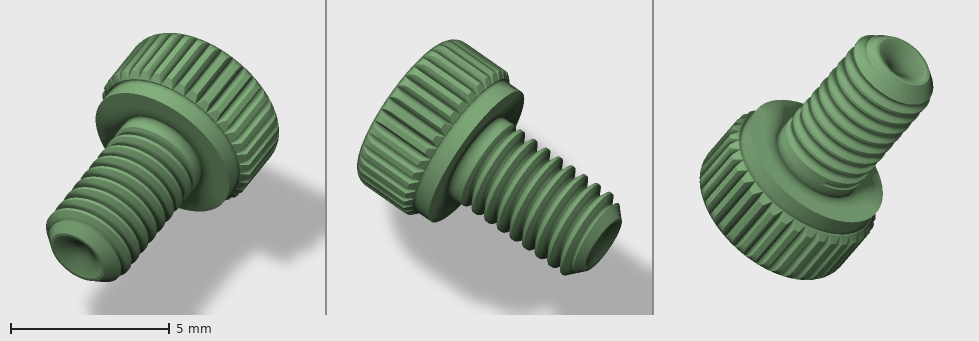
import cadquery as cq
import math


total_length = 7.9
shank_length = 5.0
head_length = total_length - shank_length
head_radius = 2.75
head_rounding = 0.505
collar_radius = 2.5
collar_length = 0.6
head_chamfer = 0.2

groove_count = 36
groove_root_radius = 2.51
groove_half_angle = math.radians(31.5)
groove_clearance = 0.08

shank_radius = 1.5
tip_radius = 1.0
cup_radius = 0.9
cup_depth = 0.52

turns_per_shank = 10
pitch = shank_length / turns_per_shank
thread_depth = 0.285
thread_root_radius = shank_radius - thread_depth
thread_half_angle = math.radians(30)
crest_width = 0.095
thread_clearance = 0.02
thread_start = 0.36
thread_start_angle = -90
runin_turns = 0.75
full_turns = 8.25


def screw_blank():
    """Head, collar, shank and cup point as one turned profile."""
    head_top = -head_length
    arc_shift = head_rounding * (1 - math.sqrt(0.5))
    tip_chamfer = shank_radius - tip_radius
    return (
        cq.Workplane("XZ")
        .moveTo(0, head_top)
        .lineTo(head_radius - head_rounding, head_top)
        .threePointArc(
            (head_radius - arc_shift, head_top + arc_shift),
            (head_radius, head_top + head_rounding),
        )
        .lineTo(head_radius, -collar_length - head_chamfer)
        .lineTo(head_radius - head_chamfer, -collar_length)
        .lineTo(collar_radius, -collar_length)
        .lineTo(collar_radius, 0)
        .lineTo(shank_radius, 0)
        .lineTo(shank_radius, shank_length - tip_chamfer)
        .lineTo(tip_radius, shank_length)
        .lineTo(cup_radius, shank_length)
        .lineTo(0, shank_length - cup_depth)
        .close()
        .revolve(360, (0, 0, 0), (0, 1, 0))
    )


def knurl_grooves():
    """Ring of V-prisms that leave the knurl teeth between them."""
    outer_radius = head_radius + groove_clearance
    half_width = (outer_radius - groove_root_radius) * math.tan(groove_half_angle)
    groove = (
        cq.Workplane("XY", origin=(0, 0, -head_length))
        .moveTo(groove_root_radius, 0)
        .lineTo(outer_radius, half_width)
        .lineTo(outer_radius, -half_width)
        .close()
        .extrude(head_length - collar_length)
    )
    grooves = cq.Workplane("XY")
    for index in range(groove_count):
        turned = groove.rotate((0, 0, 0), (0, 0, 1), index * 360 / groove_count)
        grooves = grooves.add(turned)
    return grooves.combine()


def thread_cutter(helix):
    """V-groove with a rounded root, swept along a helix that starts at the full-depth root."""
    tan_half = math.tan(thread_half_angle)
    opening = (pitch - crest_width) / 2
    sharp_gap = opening / tan_half - thread_depth
    root_rounding = sharp_gap / (1 / math.sin(thread_half_angle) - 1)
    flank_length = root_rounding / tan_half
    flank_radius = thread_root_radius - sharp_gap + flank_length * math.cos(thread_half_angle)
    flank_offset = flank_length * math.sin(thread_half_angle)
    mouth_radius = shank_radius + thread_clearance
    mouth_offset = opening + thread_clearance * tan_half
    return (
        cq.Workplane("XZ")
        .moveTo(mouth_radius, -mouth_offset)
        .lineTo(flank_radius, -flank_offset)
        .threePointArc((thread_root_radius, 0), (flank_radius, flank_offset))
        .lineTo(mouth_radius, mouth_offset)
        .close()
        .sweep(cq.Workplane(obj=helix), isFrenet=True)
    )


def thread_grooves():
    """Run-in that deepens over part of a turn, then the full-depth thread."""
    runin_height = runin_turns * pitch
    cone_angle = math.degrees(math.atan2(thread_depth, runin_height))
    runin_helix = cq.Wire.makeHelix(pitch, runin_height, thread_root_radius, angle=cone_angle)
    full_helix = cq.Wire.makeHelix(pitch, full_turns * pitch, thread_root_radius)
    runin = thread_cutter(runin_helix).rotate((0, 0, 0), (1, 0, 0), 180)
    full = thread_cutter(full_helix)
    join_angle = thread_start_angle + 360 * runin_turns
    join_height = thread_start + runin_height
    return [
        groove.rotate((0, 0, 0), (0, 0, 1), join_angle).translate((0, 0, join_height))
        for groove in (runin, full)
    ]


screw = screw_blank().cut(knurl_grooves())
for groove in thread_grooves():
    screw = screw.cut(groove)

result = screw.rotate((0, 0, 0), (1, 0, 0), 90).solids()